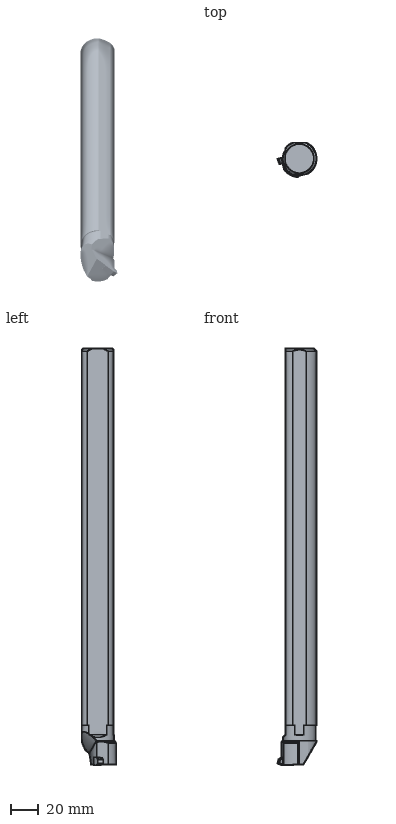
import cadquery as cq
import math

BAR_LENGTH = 301.25
SHANK_RADIUS = 12.5
SHANK_CHAMFER = 2.0
SIDE_FLAT_REACH = 11.5
LEFT_FLAT_REACH = 10.0
FLAT_END_Z = 22.2

NECK_RADIUS = 11.95
NECK_TOP_Z = 29.0

HEAD_BOTTOM_Z = 0.6
HEAD_TOP_Z = 17.7
HEAD_RADIUS = 12.5
PAD_FRONT_Y = -13.46
PAD_END_X = -1.2
PAD_RADIUS = math.hypot(PAD_FRONT_Y, PAD_END_X)
PAD_SIDE_X = -13.0
PAD_SIDE_Y = 0.8
PAD_ARC_START_Y = -7.6
CHORD_START_X = -0.2
CHORD_END_X = 6.1
BACK_RELIEF_ANGLE = 60.0
BACK_RELIEF_X = 3.0

RAKE_ANGLE = 15.0
FLOOR_Y_AT_AXIS = 4.0
ROOF_POINT = (-10.0, 6.0, 22.3)
ROOF_NORMAL = (0.453, -0.671, 0.585)

INSERT_TIP_X = -15.86
INSERT_TIP_Z = 1.4
INSERT_SHOULDER_X = -15.1
INSERT_SHOULDER_Z = 4.3
INSERT_TOP_X = -12.6
INSERT_TOP_Z = 5.9
INSERT_EDGE_X = -12.5
INSERT_INNER_X = -5.0
INSERT_THICKNESS = 4.1
INSERT_RELIEF_ANGLE = 5.0

CUTTER_SIZE = 80.0

rake = math.radians(RAKE_ANGLE)
floor_plane = cq.Plane(
    origin=(0, FLOOR_Y_AT_AXIS, 0),
    xDir=(math.cos(rake), math.sin(rake), 0),
    normal=(math.sin(rake), -math.cos(rake), 0),
)


def on_circle_front(radius, x):
    """Point at x on the -Y half of a circle about the bar axis."""
    return (x, -math.sqrt(radius**2 - x**2))


def make_shank():
    """Round bar with a chamfered top, stepped down to the neck."""
    shank = (
        cq.Workplane("XY")
        .workplane(offset=NECK_TOP_Z)
        .circle(SHANK_RADIUS)
        .extrude(BAR_LENGTH - NECK_TOP_Z)
        .faces(">Z")
        .chamfer(SHANK_CHAMFER)
    )
    neck = (
        cq.Workplane("XY")
        .workplane(offset=HEAD_TOP_Z)
        .circle(NECK_RADIUS)
        .extrude(NECK_TOP_Z - HEAD_TOP_Z)
    )
    return shank.union(neck)


def flat_cutter(reach, end_z, turn):
    """Tool for a flat on +X, turned about Z, with a 45 degree run-out below end_z."""
    depth = 2 * SHANK_RADIUS - reach
    return (
        cq.Workplane("XZ")
        .moveTo(reach, end_z)
        .lineTo(reach, BAR_LENGTH)
        .lineTo(reach + depth, BAR_LENGTH)
        .lineTo(reach + depth, end_z - depth)
        .close()
        .extrude(SHANK_RADIUS, both=True)
        .rotate((0, 0, 0), (0, 0, 1), turn)
    )


def make_pad():
    """Proud front-left part of the head, its top bevelled up to the neck."""
    height = HEAD_TOP_Z - HEAD_BOTTOM_Z
    arc_start = (-math.sqrt(PAD_RADIUS**2 - PAD_ARC_START_Y**2), PAD_ARC_START_Y)
    arc_end = (PAD_END_X, PAD_FRONT_Y)
    middle_angle = (math.atan2(*arc_start[::-1]) + math.atan2(*arc_end[::-1])) / 2
    arc_middle = (PAD_RADIUS * math.cos(middle_angle), PAD_RADIUS * math.sin(middle_angle))
    prism = (
        cq.Workplane("XY")
        .workplane(offset=HEAD_BOTTOM_Z)
        .moveTo(0, 0)
        .lineTo(0, PAD_SIDE_Y)
        .lineTo(PAD_SIDE_X, PAD_SIDE_Y)
        .lineTo(*arc_start)
        .threePointArc(arc_middle, arc_end)
        .lineTo(*on_circle_front(HEAD_RADIUS, CHORD_START_X))
        .close()
        .extrude(height)
    )
    bevel = PAD_RADIUS - NECK_RADIUS
    bevelled_disc = (
        cq.Workplane("XY")
        .workplane(offset=HEAD_BOTTOM_Z)
        .circle(PAD_RADIUS)
        .extrude(height)
        .faces(">Z")
        .chamfer(bevel)
    )
    return prism.intersect(bevelled_disc)


def make_head():
    """Round head with the narrow front flat, the pad and the sloped underside."""
    head = (
        cq.Workplane("XY")
        .workplane(offset=HEAD_BOTTOM_Z)
        .moveTo(*on_circle_front(HEAD_RADIUS, CHORD_END_X))
        .threePointArc((0, HEAD_RADIUS), on_circle_front(HEAD_RADIUS, CHORD_START_X))
        .close()
        .extrude(HEAD_TOP_Z - HEAD_BOTTOM_Z)
        .union(make_pad())
    )
    relief_run = 2 * SHANK_RADIUS
    relief_rise = relief_run * math.tan(math.radians(BACK_RELIEF_ANGLE))
    back_relief = (
        cq.Workplane("XZ")
        .moveTo(BACK_RELIEF_X, HEAD_BOTTOM_Z)
        .lineTo(BACK_RELIEF_X + relief_run, HEAD_BOTTOM_Z)
        .lineTo(BACK_RELIEF_X + relief_run, HEAD_BOTTOM_Z + relief_rise)
        .close()
        .extrude(CUTTER_SIZE, both=True)
    )
    return head.cut(back_relief)


def make_chip_pocket():
    """Space on the +Y side of the tilted floor and below the sloped roof."""
    above_floor = cq.Workplane(floor_plane).rect(CUTTER_SIZE, CUTTER_SIZE).extrude(-CUTTER_SIZE)
    roof_plane = cq.Plane(origin=ROOF_POINT, normal=ROOF_NORMAL)
    below_roof = cq.Workplane(roof_plane).rect(CUTTER_SIZE, CUTTER_SIZE).extrude(-CUTTER_SIZE)
    return above_floor.intersect(below_roof)


def make_insert():
    """Pointed cutting plate, its flanks leaning in by the relief angle."""
    outline = [
        (INSERT_TIP_X, INSERT_TIP_Z),
        (INSERT_SHOULDER_X, INSERT_SHOULDER_Z),
        (INSERT_TOP_X, INSERT_TOP_Z),
        (INSERT_INNER_X, INSERT_TOP_Z),
        (INSERT_INNER_X, 0),
        (INSERT_EDGE_X, 0),
    ]
    along_floor = [(x / math.cos(rake), z) for x, z in outline]
    return (
        cq.Workplane(floor_plane)
        .polyline(along_floor)
        .close()
        .extrude(INSERT_THICKNESS, taper=INSERT_RELIEF_ANGLE)
    )


insert = make_insert()

flats = [
    (LEFT_FLAT_REACH, FLAT_END_Z, 180),
    (SIDE_FLAT_REACH, FLAT_END_Z, 270),
]
bar = make_shank()
for reach, end_z, turn in flats:
    bar = bar.cut(flat_cutter(reach, end_z, turn))
bar = bar.union(make_head()).cut(flat_cutter(SIDE_FLAT_REACH, 0, 90))
bar = bar.cut(make_chip_pocket()).cut(insert)

result = cq.Compound.makeCompound([bar.val(), insert.val()])